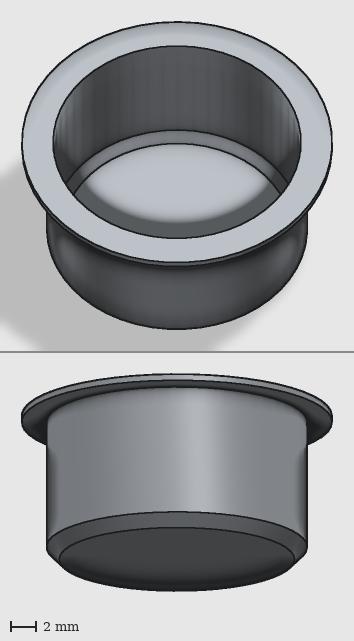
import cadquery as cq

flange_diameter = 24.4
body_diameter = 20.5
bore_diameter = 19.5
total_height = 11.7
flange_thickness = 0.51
outer_chamfer = 1.0
inner_chamfer = 0.75

wall = (body_diameter - bore_diameter) / 2
floor_thickness = wall

body = (
    cq.Workplane("XY")
    .circle(body_diameter / 2)
    .extrude(total_height)
    .faces("<Z")
    .chamfer(outer_chamfer)
)

flange = (
    cq.Workplane("XY")
    .workplane(offset=total_height - flange_thickness)
    .circle(flange_diameter / 2)
    .extrude(flange_thickness)
)

cavity = (
    cq.Workplane("XY")
    .workplane(offset=floor_thickness)
    .circle(bore_diameter / 2)
    .extrude(total_height - floor_thickness)
    .faces("<Z")
    .chamfer(inner_chamfer)
)

result = body.union(flange).cut(cavity)